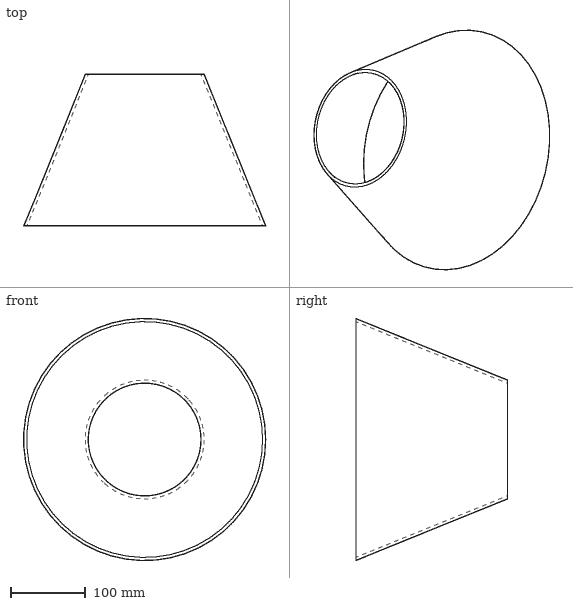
import cadquery as cq
import math

large_diameter = 323.9
small_diameter = 159.0
length = 203.0
wall_thickness = 4.0

large_radius = large_diameter / 2
small_radius = small_diameter / 2
half_angle = math.atan2(large_radius - small_radius, length)
radial_wall = wall_thickness / math.cos(half_angle)


def conical_shell():
    """Revolve the sloped wall section about Y, large end at y = 0."""
    section = (
        cq.Workplane("XY")
        .moveTo(large_radius, 0)
        .lineTo(small_radius, length)
        .lineTo(small_radius - radial_wall, length)
        .lineTo(large_radius - radial_wall, 0)
        .close()
    )
    return section.revolve(360, (0, 0, 0), (0, 1, 0))


result = conical_shell()